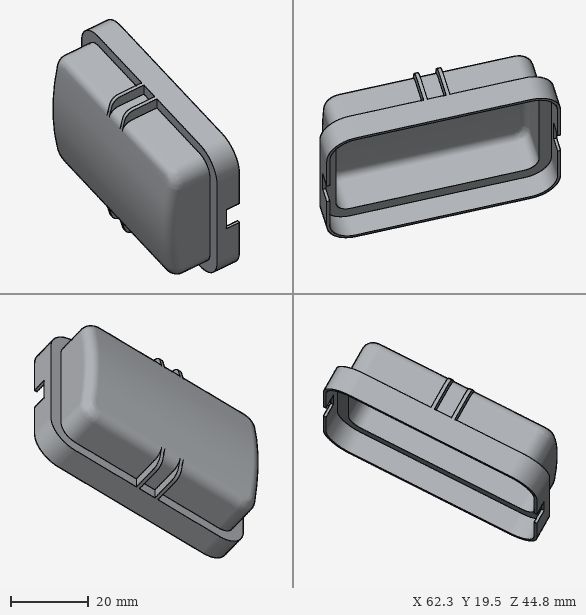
import cadquery as cq
import math

WIDTH = 62.3
DEPTH = 19.5
HEIGHT = 44.8

WALL = 0.8

RIM_DEPTH = 7.0
RIM_CORNER_RADIUS = 7.8
BODY_INSET = 3.3
BODY_CORNER_RADIUS = 4.7
DOME_RADIUS = 80.0
FRONT_FILLET = 2.9

RIB_THICKNESS = 1.0
RIB_GAP = 5.0

NOTCH_HEIGHT = 7.0
NOTCH_DEPTH = 4.0
NOTCH_DROP = 0.1


def rounded_block(width, height, depth, corner_radius):
    """Block from Y = 0 to Y = -depth, with its corners along Y rounded."""
    block = cq.Workplane("XZ").rect(width, height).extrude(depth)
    return block.edges("|Y").fillet(corner_radius)


def dome_prism(length, height, depth, dome_radius):
    """Prism along X, centred on X = 0, whose front is an arc bulging toward -Y."""
    half_height = height / 2
    sagitta = dome_radius - math.sqrt(dome_radius**2 - half_height**2)
    shoulder = sagitta - depth
    return (
        cq.Workplane("YZ")
        .moveTo(0, -half_height)
        .lineTo(shoulder, -half_height)
        .threePointArc((-depth, 0), (shoulder, half_height))
        .lineTo(0, half_height)
        .close()
        .extrude(length / 2, both=True)
    )


def housing(offset):
    """Rim and domed body with every face except the back moved inward by offset."""
    rim_width = WIDTH - 2 * offset
    rim_height = HEIGHT - 2 * offset
    body_width = rim_width - 2 * BODY_INSET
    body_height = rim_height - 2 * BODY_INSET
    depth = DEPTH - offset

    rim = rounded_block(rim_width, rim_height, RIM_DEPTH - offset, RIM_CORNER_RADIUS - offset)
    body = rounded_block(body_width, body_height, depth, BODY_CORNER_RADIUS - offset)
    dome = dome_prism(rim_width, rim_height, depth, DOME_RADIUS - offset)
    body = body.intersect(dome).faces("<Y").edges().fillet(FRONT_FILLET - offset)
    return rim.union(body)


def rib(center_x):
    """Plate with the dome's profile, as tall as the rim, with rounded front corners."""
    plate = dome_prism(RIB_THICKNESS, HEIGHT, DEPTH, DOME_RADIUS)
    front_corners = plate.faces("<Y").edges("|X")
    return front_corners.fillet(FRONT_FILLET).translate((center_x, 0, 0))


result = housing(0)

rib_offset = (RIB_GAP + RIB_THICKNESS) / 2
for center_x in (-rib_offset, rib_offset):
    result = result.union(rib(center_x))

result = result.cut(housing(WALL))

notches = cq.Workplane("XZ").center(0, -NOTCH_DROP).rect(WIDTH, NOTCH_HEIGHT).extrude(NOTCH_DEPTH)
result = result.cut(notches)